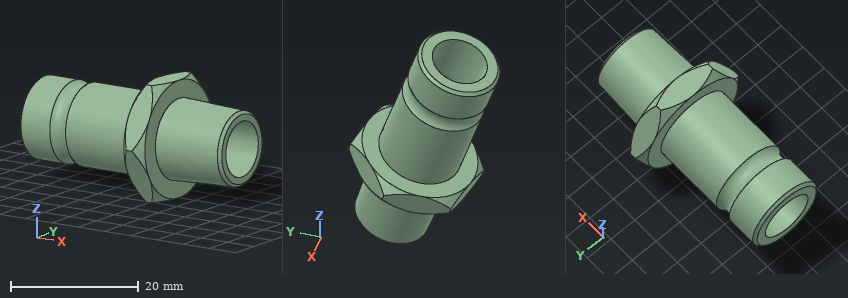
import cadquery as cq
import math

total_length = 38.0
groove_start = 6.0
groove_width = 3.0
hex_start = 22.0
hex_width = 4.0
hex_end = hex_start + hex_width

bore_radius = 9.0 / 2
plug_radius = 13.5 / 2
groove_arc_radius = 2.0
groove_depth = groove_arc_radius - math.sqrt(groove_arc_radius**2 - (groove_width / 2) ** 2)
end_chamfer = 0.5
taper_large_radius = 13.13 / 2
taper_small_radius = 12.23 / 2

across_flats = 19.0
across_corners = across_flats / math.cos(math.pi / 6)
hex_chamfer = (across_corners - across_flats) / 2


def make_turned_body():
    """Revolve the plug, its retaining groove and the tapered end about X."""
    groove_middle = groove_start + groove_width / 2
    groove_end = groove_start + groove_width
    profile = (
        cq.Workplane("XY")
        .lineTo(0, plug_radius - end_chamfer)
        .lineTo(end_chamfer, plug_radius)
        .lineTo(groove_start, plug_radius)
        .threePointArc((groove_middle, plug_radius - groove_depth), (groove_end, plug_radius))
        .lineTo(hex_end, plug_radius)
        .lineTo(hex_end, taper_large_radius)
        .lineTo(total_length - end_chamfer, taper_small_radius)
        .lineTo(total_length, taper_small_radius - end_chamfer)
        .lineTo(total_length, 0)
        .close()
    )
    return profile.revolve(360, (0, 0, 0), (1, 0, 0))


def make_hex_collar():
    """Hexagonal prism trimmed by a disc with 45 degree chamfers on both sides."""
    hexagon = cq.Workplane("YZ", origin=(hex_start, 0, 0)).polygon(6, across_corners).extrude(hex_width)
    trimming_disc = (
        cq.Workplane("YZ", origin=(hex_start, 0, 0))
        .circle(across_corners / 2)
        .extrude(hex_width)
        .edges("%CIRCLE")
        .chamfer(hex_chamfer)
    )
    return hexagon.intersect(trimming_disc)


bore = cq.Workplane("YZ").circle(bore_radius).extrude(total_length)
result = make_turned_body().union(make_hex_collar()).cut(bore)